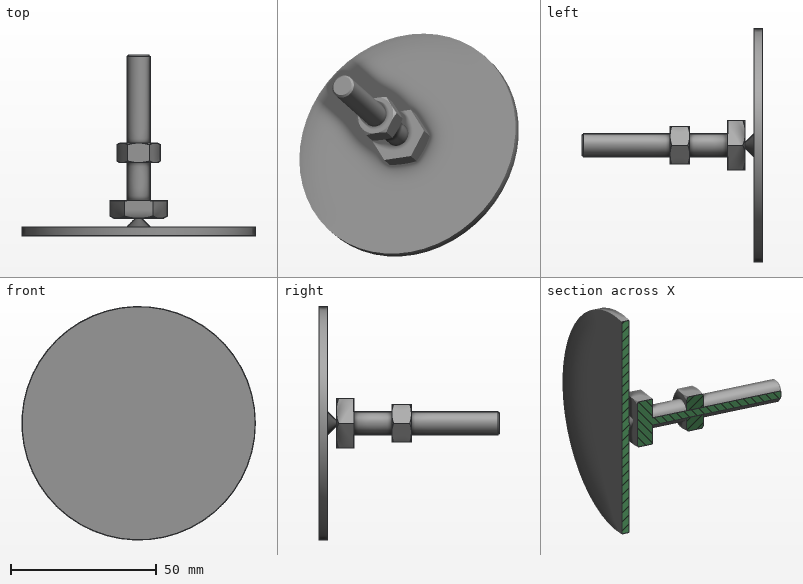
import cadquery as cq
import math

plate_diameter = 80.0
plate_thickness = 3.0
total_length = 62.0

cone_base_radius = 4.0
cone_tip_radius = 1.0
cone_height = cone_base_radius - cone_tip_radius

stud_diameter = 8.0
stud_end_chamfer = 0.6
head_start = plate_thickness + cone_height
head_thickness = 6.0
head_across_flats = 17.0

nut_start = 25.0
nut_thickness = 6.7
nut_across_flats = 13.0

half_hex_angle = math.pi / 6
hex_chamfer_angle = math.radians(30)


def cylinder(start, length, diameter):
    """Cylinder along +Y whose first face is at Y = start."""
    return cq.Workplane("XZ", origin=(0, start, 0)).circle(diameter / 2).extrude(-length)


def hex_prism(start, thickness, across_flats):
    """Hexagonal prism along +Y with two corners on the X axis."""
    across_corners = across_flats / math.cos(half_hex_angle)
    return (
        cq.Workplane("XZ", origin=(0, start, 0))
        .polygon(6, across_corners)
        .extrude(-thickness)
    )


def chamfer_envelope(start, thickness, across_flats, chamfer_far_end):
    """Round body that trims hexagon corners at its near end and, optionally, its far end."""
    face_radius = across_flats / 2
    corner_radius = face_radius / math.cos(half_hex_angle)
    depth = (corner_radius - face_radius) * math.tan(hex_chamfer_angle)
    end = start + thickness
    profile = [(0, start), (face_radius, start), (corner_radius, start + depth)]
    if chamfer_far_end:
        profile += [(corner_radius, end - depth), (face_radius, end)]
    else:
        profile += [(corner_radius, end)]
    profile += [(0, end)]
    return cq.Workplane("XY").polyline(profile).close().revolve(360, (0, 0, 0), (0, 1, 0))


def chamfered_hex(start, thickness, across_flats, chamfer_far_end):
    """Hexagonal prism with its corners turned down at 30 degrees."""
    prism = hex_prism(start, thickness, across_flats)
    return prism.intersect(chamfer_envelope(start, thickness, across_flats, chamfer_far_end))


def make_foot():
    """Round base plate with the conical seat that carries the bolt."""
    profile = [
        (0, 0),
        (plate_diameter / 2, 0),
        (plate_diameter / 2, plate_thickness),
        (cone_base_radius, plate_thickness),
        (cone_tip_radius, head_start),
        (0, head_start),
    ]
    return cq.Workplane("XY").polyline(profile).close().revolve(360, (0, 0, 0), (0, 1, 0))


def make_bolt():
    """Hexagonal head, chamfered on the plate side, with a plain stud."""
    head = chamfered_hex(head_start, head_thickness, head_across_flats, False)
    stud_start = head_start + head_thickness
    stud = cylinder(stud_start, total_length - stud_start, stud_diameter)
    stud = stud.faces(">Y").chamfer(stud_end_chamfer)
    return head.union(stud)


def make_nut():
    """Hexagonal nut, chamfered on both sides, bored to fit the stud."""
    nut = chamfered_hex(nut_start, nut_thickness, nut_across_flats, True)
    return nut.cut(cylinder(nut_start, nut_thickness, stud_diameter))


foot = make_foot()
bolt = make_bolt()
nut = make_nut()

result = cq.Compound.makeCompound([foot.val(), bolt.val(), nut.val()])